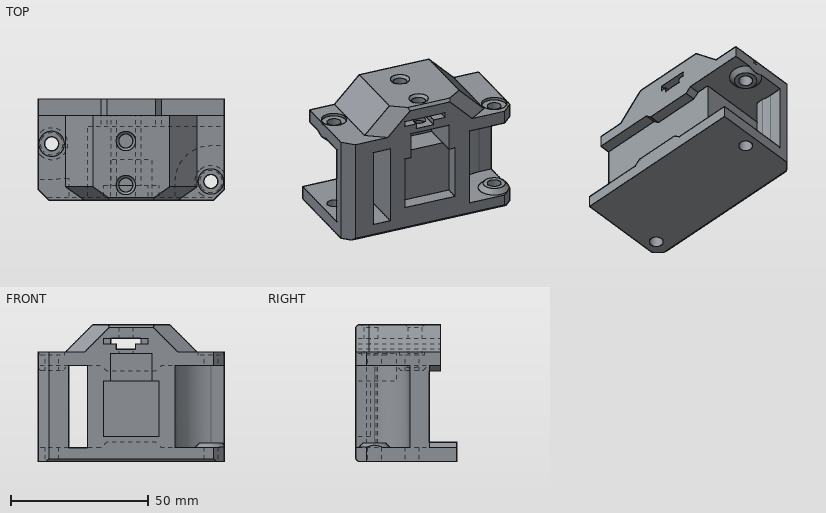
import cadquery as cq
import math

width = 68.0
base_depth = 37.0
top_depth = 31.0
total_height = 50.0
base_thickness = 5.1
shelf_bottom = 35.0
shelf_top = 40.0
block_half_width = 16.0
block_back = 26.9

corner_chamfer = 3.95
edge_chamfer = 1.0

dome_half_width = 24.0
dome_bevel_depth = 4.95
dome_bevel_width = 7.0

screw_x = 29.05
left_screw_y = 20.6
right_screw_y = 6.9
bay_radius = screw_x - block_half_width
screw_diameter = 5.0
counterbore_diameter = 9.25
counterbore_depth = 1.0
boss_base_radius = 5.85
boss_height = 1.8
boss_tip_radius = boss_base_radius - boss_height

slot_left = -22.8
left_wall_thickness = 8.0

window_half_width = 10.05
window_bottom = 9.2
window_step = 29.4
window_depth = 5.4
recess_half_width = 7.6
recess_top = 39.4
recess_depth = 14.95

dome_screw_x = -2.0
dome_screw_ys = (5.6, 21.6)
dome_screw_diameter = 5.1
countersink_diameter = 7.1
t_bottom = 41.0
t_step = 43.0
t_top = 44.95
t_stem_width = 6.95
t_through_width = 10.95
t_mouth_width = 16.1
t_mouth_depth = window_depth

rib_height = 2.0
rib_half_width = 11.1
rib_tip_half_width = 8.9


def box(x0, x1, y0, y1, z0, z1):
    """Box between two opposite corners."""
    return cq.Workplane("XY").box(x1 - x0, y1 - y0, z1 - z0, centered=False).translate((x0, y0, z0))


def cylinder(x, y, diameter, z0, z1):
    """Upright cylinder."""
    return cq.Workplane("XY", origin=(x, y, z0)).circle(diameter / 2).extrude(z1 - z0)


def cone(x, y, z0, radius0, z1, radius1):
    """Upright truncated cone, radius0 at z0 and radius1 at z1; z1 may be lower than z0."""
    direction = cq.Vector(0, 0, 1 if z1 > z0 else -1)
    return cq.Workplane(cq.Solid.makeCone(radius0, radius1, abs(z1 - z0), cq.Vector(x, y, z0), direction))


def dome_outline(y, half_width):
    """Upright trapezoid with 45 degree flanks at depth y."""
    rise = total_height - shelf_top
    points = [
        (-half_width, shelf_top),
        (half_width, shelf_top),
        (half_width - rise, total_height),
        (rise - half_width, total_height),
    ]
    return cq.Wire.makePolygon([cq.Vector(x, y, z) for x, z in points], close=True)


def dome():
    """Trapezoidal dome whose flanks close in towards the front."""
    front = dome_outline(0, dome_half_width - dome_bevel_width)
    middle = dome_outline(dome_bevel_depth, dome_half_width)
    back = dome_outline(top_depth, dome_half_width)
    nose = cq.Solid.makeLoft([front, middle], True)
    body = cq.Solid.makeLoft([middle, back], True)
    return cq.Workplane(nose).union(cq.Workplane(body))


def bay(side, screw_y, open_y):
    """Space between base and shelf on one side, rounded about the screw and open past open_y."""
    wall_side = 1 if open_y < screw_y else -1
    wall_y = screw_y + wall_side * bay_radius
    arc_offset = bay_radius * math.sqrt(0.5)
    arc_middle = (side * (screw_x - arc_offset), screw_y + wall_side * arc_offset)
    return (
        cq.Workplane("XY", origin=(0, 0, base_thickness))
        .moveTo(side * width / 2, open_y)
        .lineTo(side * width / 2, wall_y)
        .lineTo(side * screw_x, wall_y)
        .threePointArc(arc_middle, (side * block_half_width, screw_y))
        .lineTo(side * block_half_width, open_y)
        .close()
        .extrude(shelf_bottom - base_thickness)
    )


def rib(root_z, tip_z, back):
    """Rib with sloping ends, from the back of the block to depth back."""
    return (
        cq.Workplane("XZ", origin=(0, back, 0))
        .polyline([
            (-rib_half_width, root_z),
            (rib_half_width, root_z),
            (rib_tip_half_width, tip_z),
            (-rib_tip_half_width, tip_z),
        ])
        .close()
        .extrude(back - block_back)
    )


def screw_hole(x, y):
    """Counterbored hole through shelf and base."""
    bore = cylinder(x, y, screw_diameter, 0, shelf_top)
    return bore.union(cylinder(x, y, counterbore_diameter, shelf_top - counterbore_depth, shelf_top))


def dome_screw_hole(y):
    """Countersunk hole from the dome top down to the recess."""
    sink_depth = (countersink_diameter - dome_screw_diameter) / 2
    sink_bottom = total_height - sink_depth
    sink = cone(dome_screw_x, y, total_height, countersink_diameter / 2, sink_bottom, dome_screw_diameter / 2)
    return cylinder(dome_screw_x, y, dome_screw_diameter, recess_top, total_height).union(sink)


def slot_part(slot_width, depth, z0, z1):
    """Part of the T-slot, centred on the dome screws and open at the front."""
    return box(dome_screw_x - slot_width / 2, dome_screw_x + slot_width / 2, 0, depth, z0, z1)


half = width / 2

body = box(-half, half, 0, base_depth, 0, base_thickness)
body = body.union(box(-half, half, 0, block_back, base_thickness, shelf_bottom))
body = body.union(box(-half, half, 0, top_depth, shelf_bottom, shelf_top))
body = body.union(dome())

body = body.cut(bay(-1, left_screw_y, block_back))
body = body.cut(bay(1, right_screw_y, 0))
body = body.cut(box(slot_left, -block_half_width, 0, block_back, base_thickness, shelf_bottom))
body = body.cut(
    box(-half, -block_half_width, left_wall_thickness, block_back, base_thickness, shelf_bottom)
)

body = body.union(rib(base_thickness, base_thickness + rib_height, base_depth))
body = body.union(rib(shelf_bottom, shelf_bottom - rib_height, top_depth))
envelope = box(-half, half, 0, base_depth, 0, total_height)
for x, y, root_z, tip_z in (
    (-screw_x, left_screw_y, shelf_bottom, shelf_bottom - boss_height),
    (screw_x, right_screw_y, base_thickness, base_thickness + boss_height),
):
    boss = cone(x, y, root_z, boss_base_radius, tip_z, boss_tip_radius)
    body = body.union(boss.intersect(envelope))
    body = body.cut(screw_hole(x, y))

body = body.cut(box(-window_half_width, window_half_width, 0, window_depth, window_bottom, window_step))
body = body.cut(box(-recess_half_width, recess_half_width, 0, recess_depth, window_step, recess_top))
body = body.cut(slot_part(t_stem_width, top_depth, t_bottom, t_step))
body = body.cut(slot_part(t_through_width, top_depth, t_step, t_top))
body = body.cut(slot_part(t_mouth_width, t_mouth_depth, t_step, t_top))
for y in dome_screw_ys:
    body = body.cut(dome_screw_hole(y))

for side in (-1, 1):
    corner = (
        cq.Workplane("XY")
        .polyline([(side * half, 0), (side * (half - corner_chamfer), 0), (side * half, corner_chamfer)])
        .close()
        .extrude(total_height)
    )
    body = body.cut(corner)

for z, inward in ((0, 1), (total_height, -1)):
    edge = (
        cq.Workplane("YZ", origin=(-half, 0, 0))
        .polyline([(0, z), (edge_chamfer, z), (0, z + inward * edge_chamfer)])
        .close()
        .extrude(width)
    )
    body = body.cut(edge)

result = body